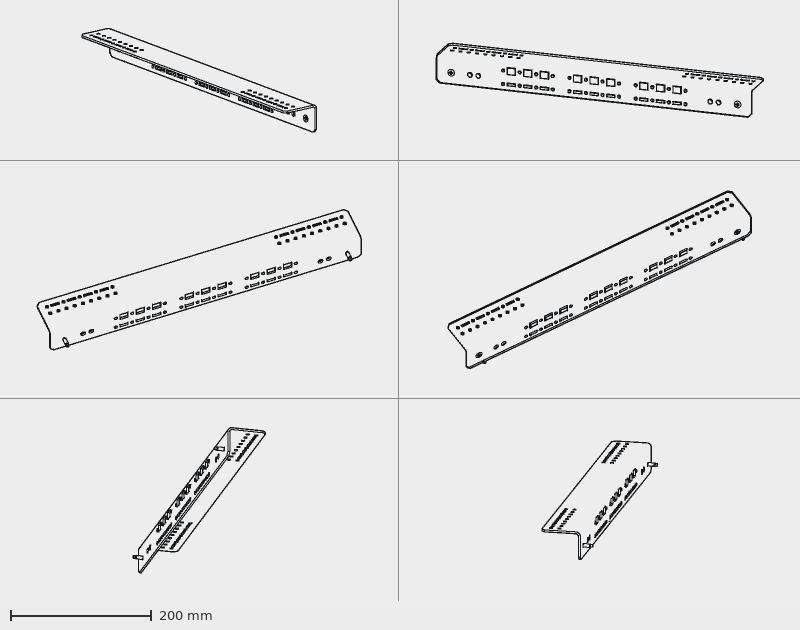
import cadquery as cq
import math

length = 475
height = 42
flange_depth = 57
thickness = 3
inner_bend_radius = 3.5
outer_bend_radius = inner_bend_radius + thickness
corner_chamfer = 4.9

pitch = 25

web_hole_diameter = 4.5
web_groups = 3
web_holes_per_group = 4
web_group_spacing = web_holes_per_group * pitch
web_row_spacing = 20
web_lower_row_z = 8.5
web_upper_row_z = web_lower_row_z + web_row_spacing
opening_width = pitch / 2
window_height = 10.5
web_slot_height = 4

fastener_row_z = 16.5

mounting_hole_diameter = 7
mounting_hole_x = (7 * pitch, 7.5 * pitch)

flange_hole_diameter = 4.5
flange_group_x = 7 * pitch
flange_pitches_per_group = 4
flange_front_row_y = 11.5
flange_rear_row_y = flange_front_row_y + pitch / 2
flange_slot_width = 3

screw_x = 216
screw_diameter = 5
screw_head_diameter = 10
screw_protrusion = 13.2
screw_head_height = (screw_head_diameter - screw_diameter) / 2
screw_length = thickness + screw_protrusion
recess_span = 5
recess_width = 1.2
recess_depth = 1.5
screw_tip_length = 2.6
screw_tip_diameter = 4
screw_taper_length = 1.4

web_front_y = flange_depth - thickness



def row(count, spacing, center=0):
    """X positions of evenly spaced features about a center."""
    first = center - (count - 1) * spacing / 2
    return [first + i * spacing for i in range(count)]


def mirrored(x_positions):
    """The given X positions on both sides of the middle."""
    return [side * x for side in (-1, 1) for x in x_positions]


def at(x_positions, across):
    """Points at the given X positions, all at one place across the row."""
    return [(x, across) for x in x_positions]


def web_sketch():
    """Plane on the rear of the web, with Z as its second axis; extrusions run toward -Y."""
    return cq.Workplane("XZ", origin=(0, flange_depth, 0))


def flange_sketch():
    """Plane on the underside of the flange; extrusions run upward."""
    return cq.Workplane("XY", origin=(0, 0, height - thickness))


def make_bent_sheet():
    """Bent sheet of constant thickness with chamfered outer corners on the flange and web."""
    underside = height - thickness
    bend_center_y = flange_depth - outer_bend_radius
    bend_center_z = height - outer_bend_radius
    outer_arc_middle = outer_bend_radius * math.sqrt(0.5)
    inner_arc_middle = inner_bend_radius * math.sqrt(0.5)
    profile = (
        cq.Workplane("YZ", origin=(-length / 2, 0, 0))
        .moveTo(0, height)
        .lineTo(bend_center_y, height)
        .threePointArc(
            (bend_center_y + outer_arc_middle, bend_center_z + outer_arc_middle),
            (flange_depth, bend_center_z),
        )
        .lineTo(flange_depth, 0)
        .lineTo(web_front_y, 0)
        .lineTo(web_front_y, bend_center_z)
        .threePointArc(
            (bend_center_y + inner_arc_middle, bend_center_z + inner_arc_middle),
            (bend_center_y, underside),
        )
        .lineTo(0, underside)
        .close()
    )
    sheet = profile.extrude(length)
    sheet = sheet.faces("<Y").edges("|Z").chamfer(corner_chamfer)
    return sheet.faces("<Z").edges("|Y").chamfer(corner_chamfer)


def web_cutters():
    """Small holes, windows, slots and mounting holes of the web."""
    holes_x = []
    openings_x = []
    for group_x in row(web_groups, web_group_spacing):
        holes_x += row(web_holes_per_group, pitch, group_x)
        openings_x += row(web_holes_per_group - 1, pitch, group_x)
    rows_z = (web_lower_row_z, web_upper_row_z)
    hole_points = [point for z in rows_z for point in at(holes_x, z)]
    holes = web_sketch().pushPoints(hole_points).circle(web_hole_diameter / 2).extrude(thickness)
    windows = (
        web_sketch().pushPoints(at(openings_x, web_upper_row_z))
        .rect(opening_width, window_height).extrude(thickness)
    )
    slots = (
        web_sketch().pushPoints(at(openings_x, web_lower_row_z))
        .rect(opening_width, web_slot_height).extrude(thickness)
    )
    mounting = (
        web_sketch().pushPoints(at(mirrored(mounting_hole_x), fastener_row_z))
        .circle(mounting_hole_diameter / 2).extrude(thickness)
    )
    return [holes, windows, slots, mounting]


def flange_cutters():
    """A row of holes at each end, and in front of it a row of holes alternating with slots."""
    hole_points = []
    slot_points = []
    for group_x in mirrored([flange_group_x]):
        rear_x = row(2 * flange_pitches_per_group + 1, pitch / 2, group_x)
        front_x = row(flange_pitches_per_group + 1, pitch, group_x)
        slot_x = row(flange_pitches_per_group, pitch, group_x)
        hole_points += at(rear_x, flange_rear_row_y) + at(front_x, flange_front_row_y)
        slot_points += at(slot_x, flange_front_row_y)
    holes = flange_sketch().pushPoints(hole_points).circle(flange_hole_diameter / 2).extrude(thickness)
    slots = flange_sketch().pushPoints(slot_points).rect(opening_width, flange_slot_width).extrude(thickness)
    return [holes, slots]


def make_screw_blank(x):
    """Countersunk screw without its drive, head flush with the web front, pointing to +Y."""
    tip_start = screw_length - screw_tip_length
    profile = (
        cq.Workplane("XY")
        .polyline([
            (0, 0),
            (screw_head_diameter / 2, 0),
            (screw_diameter / 2, screw_head_height),
            (screw_diameter / 2, tip_start - screw_taper_length),
            (screw_tip_diameter / 2, tip_start),
            (screw_tip_diameter / 2, screw_length),
            (0, screw_length),
        ])
        .close()
    )
    return profile.revolve(360, (0, 0), (0, 1)).translate((x, web_front_y, fastener_row_z))


def make_screw(x):
    """Screw with a cross recess in its head."""
    face = cq.Workplane("XZ", origin=(x, web_front_y, fastener_row_z))
    bar = face.rect(recess_span, recess_width).extrude(-recess_depth)
    cross_bar = face.rect(recess_width, recess_span).extrude(-recess_depth)
    return make_screw_blank(x).cut(bar.union(cross_bar))


screw_positions = mirrored([screw_x])

bracket = make_bent_sheet()
for cutter in web_cutters() + flange_cutters():
    bracket = bracket.cut(cutter)
for x in screw_positions:
    bracket = bracket.cut(make_screw_blank(x))

screws = [make_screw(x) for x in screw_positions]

result = cq.Compound.makeCompound([bracket.solids().val(), *[screw.solids().val() for screw in screws]])